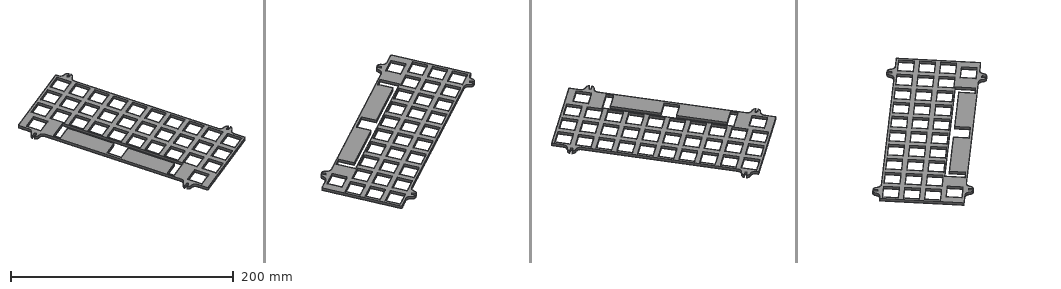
import cadquery as cq
import math

key_pitch = 19.0
columns = 10
full_rows = 3
plate_length = columns * key_pitch
plate_width = (full_rows + 1) * key_pitch
thickness = 3.0
corner_radius = 0.4

switch_size = 14.3
switch_row_shift = 0.1
outer_key_inset = 14.3

bar_half_length = 60.5
bar_top = 20.2
bar_bottom = 1.7
tongue_outer_x = 53.7
tongue_top = 16.5

lug_height = 7.0
lug_radius = 4.0
root_radius = 4.4
slot_width = 2.1
slot_floor = 2.5
lug_overlap = 2.0
top_lug_positions = (-84.4, 76.0)
bottom_lug_positions = (-76.4, 76.5)

slot_radius = slot_width / 2
lug_centre_y = lug_height - math.sqrt(lug_radius**2 - slot_radius**2)


def box(x_min, x_max, y_min, y_max):
    """Full-thickness block between the given X and Y limits."""
    return (
        cq.Workplane("XY")
        .center((x_min + x_max) / 2, (y_min + y_max) / 2)
        .rect(x_max - x_min, y_max - y_min)
        .extrude(thickness)
    )


def place_on_edge(shape, x, on_top_edge):
    """Move a shape built outward from the origin along +Y onto a long plate edge."""
    if on_top_edge:
        return shape.translate((x, plate_width, 0))
    return shape.mirror("XZ").translate((x, 0, 0))


def lug():
    """Round-ended lug with concave roots and a slot open at its tip."""
    centre_distance = lug_radius + root_radius
    root_half = math.sqrt(centre_distance**2 - (root_radius - lug_centre_y)**2)
    root_angle = math.atan2(root_radius - lug_centre_y, root_half)
    tangent_x = lug_radius * math.cos(root_angle)
    tangent_y = lug_centre_y + lug_radius * math.sin(root_angle)
    mid_angle = (root_angle + math.pi / 2) / 2
    root_mid_x = root_half - root_radius * math.cos(mid_angle)
    root_mid_y = root_radius - root_radius * math.sin(mid_angle)
    body = (
        cq.Workplane("XY")
        .moveTo(-root_half, 0)
        .threePointArc((-root_mid_x, root_mid_y), (-tangent_x, tangent_y))
        .threePointArc((0, lug_centre_y + lug_radius), (tangent_x, tangent_y))
        .threePointArc((root_mid_x, root_mid_y), (root_half, 0))
        .lineTo(root_half, -lug_overlap)
        .lineTo(-root_half, -lug_overlap)
        .close()
        .extrude(thickness)
    )
    slot_centre_y = slot_floor + slot_radius
    slot_end = cq.Workplane("XY").center(0, slot_centre_y).circle(slot_radius).extrude(thickness)
    slot_walls = box(-slot_radius, slot_radius, slot_centre_y, lug_centre_y + lug_radius)
    return body.cut(slot_end).cut(slot_walls)


def switch_openings():
    """Openings of the full key rows and of the two outer bottom-row keys."""
    column_xs = [(column + 0.5) * key_pitch - plate_length / 2 for column in range(columns)]
    row_ys = [(row + 1.5) * key_pitch + switch_row_shift for row in range(full_rows)]
    centres = [(x, y) for x in column_xs for y in row_ys]
    outer_key_x = plate_length / 2 - outer_key_inset
    outer_key_y = key_pitch / 2 + switch_row_shift
    centres += [(-outer_key_x, outer_key_y), (outer_key_x, outer_key_y)]
    return cq.Workplane("XY").pushPoints(centres).rect(switch_size, switch_size).extrude(thickness)


def space_bar_opening():
    """Long slit with a leg at each end and a switch opening in the middle."""
    switch_half = switch_size / 2
    slit = box(-bar_half_length, bar_half_length, tongue_top, bar_top)
    left_leg = box(-bar_half_length, -tongue_outer_x, bar_bottom, bar_top)
    right_leg = box(tongue_outer_x, bar_half_length, bar_bottom, bar_top)
    switch = box(-switch_half, switch_half, key_pitch / 2 - switch_half, bar_top)
    return slit.union(left_leg).union(right_leg).union(switch)


plate = box(-plate_length / 2, plate_length / 2, 0, plate_width)
plate = plate.edges("|Z").fillet(corner_radius)

for lug_x in top_lug_positions:
    plate = plate.union(place_on_edge(lug(), lug_x, True))
for lug_x in bottom_lug_positions:
    plate = plate.union(place_on_edge(lug(), lug_x, False))

result = plate.cut(switch_openings()).cut(space_bar_opening())